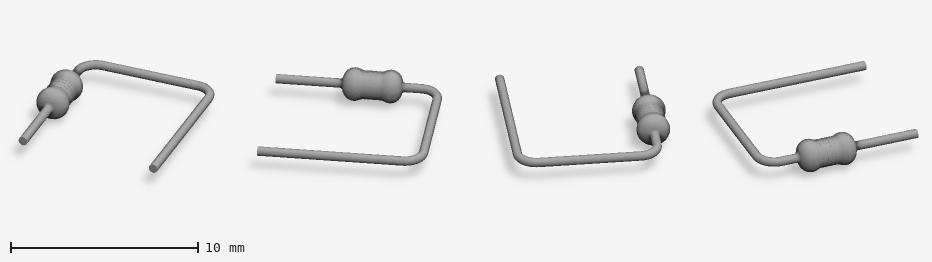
import cadquery as cq
import math

overall_length = 9.05
lead_diameter = 0.5
lead_pitch = 7.5
bend_radius = 1.005

body_center_y = 5.195
bulb_diameter = 1.8
bulb_offset = 0.97
bulb_arc_radius = 0.63
core_diameter = 1.53
core_blend_radius = 0.63
neck_blend_radius = 0.18

band_diameter = 1.55
band_width = 0.13
band_pitch = 0.25
band_count = 4

lead_radius = lead_diameter / 2
core_radius = core_diameter / 2
bulb_arc_center = bulb_diameter / 2 - bulb_arc_radius


def bent_lead():
    """Round wire along the body axis, across the top and back down."""
    top_y = overall_length - lead_radius
    bend_start_y = top_y - bend_radius
    path = (
        cq.Workplane("XY")
        .lineTo(0, bend_start_y)
        .radiusArc((bend_radius, top_y), bend_radius)
        .lineTo(lead_pitch - bend_radius, top_y)
        .radiusArc((lead_pitch, bend_start_y), bend_radius)
        .lineTo(lead_pitch, 0)
    )
    return cq.Workplane("XZ").circle(lead_radius).sweep(path)


def blend_points(straight_radius, blend_radius):
    """Find a concave arc tangent to a cylinder and to the bulb arc.

    Return the joint radius, the joint's axial distance from the bulb's widest
    section, and the axial distance at which the arc meets the cylinder.
    """
    radial_gap = straight_radius + blend_radius - bulb_arc_center
    center_distance = bulb_arc_radius + blend_radius
    axial_gap = math.sqrt(center_distance**2 - radial_gap**2)
    share = bulb_arc_radius / center_distance
    return bulb_arc_center + radial_gap * share, axial_gap * share, axial_gap


def half_body():
    """Half of the body of revolution, from its middle to the +Y neck."""
    core_joint_radius, core_joint, core_end = blend_points(core_radius, core_blend_radius)
    neck_joint_radius, neck_joint, neck_end = blend_points(lead_radius, neck_blend_radius)
    return (
        cq.Workplane("XY")
        .lineTo(core_radius, 0)
        .lineTo(core_radius, bulb_offset - core_end)
        .radiusArc((core_joint_radius, bulb_offset - core_joint), core_blend_radius)
        .radiusArc((bulb_diameter / 2, bulb_offset), -bulb_arc_radius)
        .radiusArc((neck_joint_radius, bulb_offset + neck_joint), -bulb_arc_radius)
        .radiusArc((lead_radius, bulb_offset + neck_end), neck_blend_radius)
        .lineTo(0, bulb_offset + neck_end)
        .close()
        .revolve(360, (0, 0), (0, 1))
    )


def color_band(center_y):
    """Slightly raised ring around the core."""
    return (
        cq.Workplane("XZ", origin=(0, center_y + band_width / 2, 0))
        .circle(band_diameter / 2)
        .extrude(band_width)
    )


def resistor_body():
    half = half_body()
    body = half.union(half.mirror("XZ"))
    for index in range(band_count):
        body = body.union(color_band((index - (band_count - 1) / 2) * band_pitch))
    return body.translate((0, body_center_y, 0))


result = resistor_body().union(bent_lead())